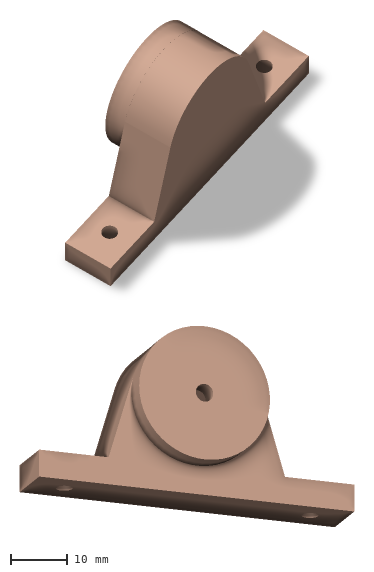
import cadquery as cq
import math

foot_length = 60.0
foot_height = 5.05
body_thickness = 10.0
screw_hole_diameter = 3.0
screw_hole_spacing = 46.8

axis_height = 17.75
housing_radius = 12.4
flank_foot_half_width = 16.8

cover_diameter = 24.9
cover_thickness = 3.95
centre_hole_diameter = 3.3
centre_hole_depth = cover_thickness


def flank_tangent_point():
    """Return (y, z) where the +Y flank meets the housing arc tangentially."""
    drop = axis_height - foot_height
    distance = math.hypot(flank_foot_half_width, drop)
    angle = math.acos(housing_radius / distance) - math.atan2(drop, flank_foot_half_width)
    return housing_radius * math.cos(angle), axis_height + housing_radius * math.sin(angle)


def make_body():
    half_length = foot_length / 2
    tangent_y, tangent_z = flank_tangent_point()
    return (
        cq.Workplane("YZ")
        .moveTo(-half_length, 0)
        .lineTo(half_length, 0)
        .lineTo(half_length, foot_height)
        .lineTo(flank_foot_half_width, foot_height)
        .lineTo(tangent_y, tangent_z)
        .threePointArc((0, axis_height + housing_radius), (-tangent_y, tangent_z))
        .lineTo(-flank_foot_half_width, foot_height)
        .lineTo(-half_length, foot_height)
        .close()
        .extrude(body_thickness)
    )


def x_cylinder(diameter, length):
    """Cylinder on the housing axis, running from the cover's outer face toward +X."""
    return (
        cq.Workplane("YZ", origin=(-cover_thickness, 0, axis_height))
        .circle(diameter / 2)
        .extrude(length)
    )


def make_screw_holes():
    offset = screw_hole_spacing / 2
    return (
        cq.Workplane("XY")
        .pushPoints([(body_thickness / 2, -offset), (body_thickness / 2, offset)])
        .circle(screw_hole_diameter / 2)
        .extrude(foot_height)
    )


result = (
    make_body()
    .union(x_cylinder(cover_diameter, cover_thickness))
    .cut(x_cylinder(centre_hole_diameter, centre_hole_depth))
    .cut(make_screw_holes())
)